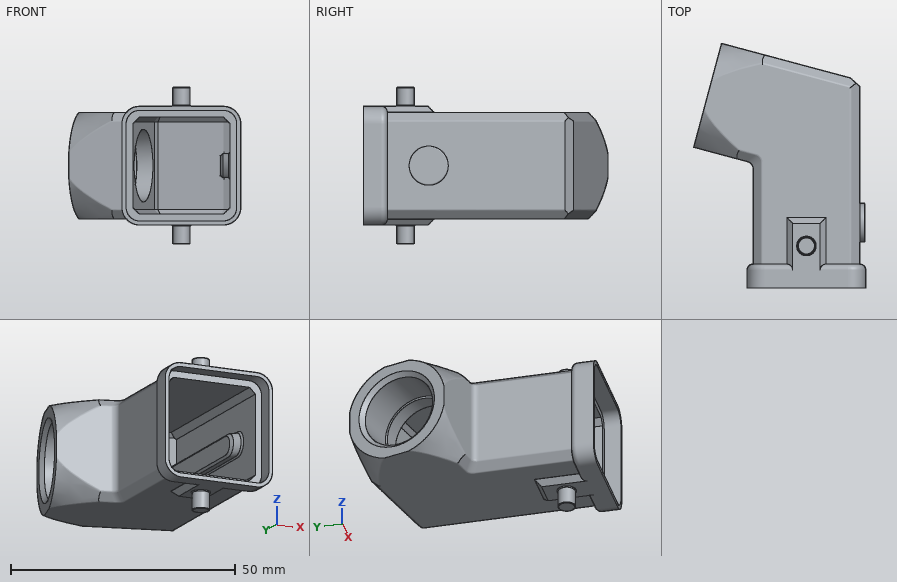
import cadquery as cq
import math


hood_width = 38.45
hood_length = 54.6
pin_span = 35.0

body_half = 11.9
edge_chamfer = 1.95
edge_blend = 0.55
bend_angle = 15.0
entry_half = 12.0
back_corner_x = 9.8
back_corner_y = 45.0
elbow_radius = 1.65

cone_face_radius = 12.3
cone_slope = 0.33
cone_length = 13.1
turning_radius = 24.55

collar_half = 13.25
collar_length = 5.35
collar_corner = 3.95
rim_thickness = 0.95
recess_depth = 3.8

cavity_half = 10.8
cavity_chamfer = 1.4
end_chamfer = 1.05
back_wall = 1.35
inner_corner_x = 9.45
inner_corner_y = 44.7
step_width = 1.35
step_depth = 0.5

bore_depth = 14.1
bore_radius = 8.1
thread_radius = 8.55
thread_depth = 10.3
lead_in = 1.05

pad_half = 4.35
pad_end = 15.7
pad_chamfer = 1.3
pin_y = 9.4
pin_radius = 1.95
pin_foot = 0.2
pin_tip_chamfer = 0.15

boss_y = 14.6
boss_radius = 4.35
boss_face_x = 13.05
boss_round = 0.3
rib_face_x = 8.75
rib_half = 2.7
rib_slant = 45.0
rib_chamfer = 0.5
rib_foot = 0.35
rib_root_blend = 0.4
rib_end_y = 14.95

tolerance = 0.01

slope = math.tan(math.radians(bend_angle))
axis_x = math.cos(math.radians(bend_angle))
axis_y = -math.sin(math.radians(bend_angle))

entry_x = collar_half - hood_width - entry_half * axis_y
entry_y = hood_length - entry_half * axis_x


def entry_point(depth, across):
    """XY point at a depth behind the entry face and a distance across its axis."""
    return (
        entry_x + depth * axis_x - across * axis_y,
        entry_y + depth * axis_y + across * axis_x,
    )


def point_on_slope(start, x):
    """Point at X on the line through start that runs parallel to the entry axis."""
    return (x, start[1] - (x - start[0]) * slope)


def entry_plane():
    """Work plane on the entry face, with its normal pointing into the part."""
    return cq.Workplane(cq.Plane((entry_x, entry_y, 0), xDir=(0, 0, 1), normal=(axis_x, axis_y, 0)))


def mouth_plane():
    """Work plane on the mouth of the leg, with its normal along +Y."""
    return cq.Workplane(cq.Plane((0, 0, 0), xDir=(1, 0, 0), normal=(0, 1, 0)))


def slab(points, half_height):
    """Solid with the given XY outline, reaching half_height above and below Z = 0."""
    return cq.Workplane("XY").polyline(points).close().extrude(half_height, both=True)


def body_outline(height, inset):
    """Outline of the body at a height, its long sides moved inward by inset."""
    side = body_half - inset
    across = entry_half - inset
    entry_top = entry_point(0, across)
    entry_bottom = entry_point(0, -across)
    elbow_x, elbow_y = point_on_slope(entry_bottom, -side)
    tangent = elbow_radius * math.tan(math.radians(90 - bend_angle) / 2)
    return (
        cq.Workplane("XY", origin=(0, 0, height))
        .moveTo(-side, 0)
        .lineTo(side, 0)
        .lineTo(*point_on_slope(entry_top, side))
        .lineTo(*entry_top)
        .lineTo(*entry_bottom)
        .lineTo(elbow_x - tangent * axis_x, elbow_y - tangent * axis_y)
        .tangentArcPoint((elbow_x, elbow_y - tangent), relative=False)
        .close()
    )


def flat_edges(body):
    """Edges round the flats of the body, leaving the two open ends and upright corners sharp."""

    def needs_blend(edge):
        middle = edge.Center()
        depth = (middle.x - entry_x) * axis_x + (middle.y - entry_y) * axis_y
        upright = edge.geomType() == "LINE" and abs(edge.tangentAt(0).z) > 1 - tolerance
        return depth > tolerance and middle.y > tolerance and not upright

    around = body.faces("<Z or >Z").edges().vals() + body.faces("#Z").edges().vals()
    return [edge for edge in around if needs_blend(edge)]


def make_body():
    """Bent body with bevelled long edges, a turned entry and a cut back corner."""
    straight = body_half - edge_chamfer
    body = body_outline(-straight, 0).extrude(2 * straight)
    lower = body_outline(straight, 0).wires().val()
    upper = body_outline(body_half, edge_chamfer).wires().val()
    bevel = cq.Workplane(cq.Solid.makeLoft([lower, upper], True))
    body = body.union(bevel).union(bevel.mirror("XY"))
    body = body.cut(make_entry_turning())
    body = body.newObject(flat_edges(body)).fillet(edge_blend)
    back_cut = slab(
        [
            (body_half, back_corner_y),
            (body_half, hood_length),
            point_on_slope(entry_point(0, entry_half), back_corner_x),
        ],
        body_half,
    )
    return body.cut(back_cut)


def make_entry_turning():
    """Material outside the cone that the entry end is turned to."""
    cone = entry_plane().circle(cone_face_radius).workplane(offset=cone_length)
    cone = cone.circle(cone_face_radius + cone_slope * cone_length).loft()
    return entry_plane().circle(turning_radius).extrude(cone_length).cut(cone)


def make_collar():
    side = 2 * collar_half
    collar = mouth_plane().rect(side, side).extrude(collar_length)
    collar = collar.edges("|Y").fillet(collar_corner)
    return collar.faces(">Y").edges().fillet(collar_half - body_half)


def make_pads():
    pads = cq.Workplane("XY").box(
        2 * pad_half, pad_end, 2 * collar_half, centered=(True, False, True)
    )
    return pads.faces("<Z or >Z").edges("|Y or >Y").chamfer(pad_chamfer)


def make_pins():
    """Two opposite pins, each with a bevelled foot on its pad and a bevelled tip."""
    pin_top = pin_span / 2
    foot_radius = pin_radius + pin_foot
    pin = (
        cq.Workplane("XZ", origin=(0, pin_y, 0))
        .polyline(
            [
                (0, cavity_half),
                (foot_radius, cavity_half),
                (foot_radius, collar_half),
                (pin_radius, collar_half + pin_foot),
                (pin_radius, pin_top - pin_tip_chamfer),
                (pin_radius - pin_tip_chamfer, pin_top),
                (0, pin_top),
            ]
        )
        .close()
        .revolve(360, (0, 0, 0), (0, 1, 0))
    )
    return pin.union(pin.mirror("XY"))


def make_boss():
    boss = cq.Workplane("YZ").center(boss_y, 0).circle(boss_radius).extrude(boss_face_x)
    return boss.faces(">X").edges().fillet(boss_round)


def make_cavity():
    """Bent hollow of the hood, with the rib standing on its +X wall."""
    back_line = entry_point(0, entry_half - back_wall)
    entry_wall = entry_point(bore_depth, 0)
    side_y = entry_wall[1] + (-cavity_half - entry_wall[0]) / slope
    cavity = slab(
        [
            (-cavity_half, 0),
            (cavity_half, 0),
            (cavity_half, inner_corner_y),
            point_on_slope(back_line, inner_corner_x),
            entry_point(bore_depth + step_depth, entry_half - back_wall),
            entry_point(bore_depth, entry_half - back_wall - step_width),
            (-cavity_half, side_y),
        ],
        cavity_half,
    )
    cavity = cavity.faces("<Z or >Z").edges("not <Y").chamfer(end_chamfer)
    side = 2 * cavity_half
    leg = mouth_plane().rect(side, side).extrude(hood_length)
    leg = leg.edges("|Y").chamfer(cavity_chamfer)
    cavity = cavity.intersect(leg).cut(make_rib())
    near_rib_root = cq.selectors.BoxSelector(
        (rib_face_x - rib_foot, inner_corner_y, -rib_half - rib_foot),
        (inner_corner_x + rib_chamfer, back_corner_y + edge_chamfer, rib_half + rib_foot),
    )
    return cavity.edges(near_rib_root).fillet(rib_root_blend)


def rib_outline(x, half_width):
    """Rib outline at X: straight sides and a half-round end that leans toward the mouth."""
    centre_y = rib_end_y - (x - rib_face_x) * math.tan(math.radians(rib_slant))
    outline = (
        cq.Workplane("YZ", origin=(x, 0, 0))
        .moveTo(centre_y, half_width)
        .threePointArc((centre_y - half_width, 0), (centre_y, -half_width))
        .lineTo(hood_length, -half_width)
        .lineTo(hood_length, half_width)
        .close()
    )
    return outline.wires().val()


def make_rib():
    """Rib with a bevelled face and a flared foot on the cavity wall."""
    sections = [
        rib_outline(rib_face_x, rib_half - rib_chamfer),
        rib_outline(rib_face_x + rib_chamfer, rib_half),
        rib_outline(cavity_half - rib_foot, rib_half),
        rib_outline(cavity_half, rib_half + rib_foot),
    ]
    return cq.Workplane(cq.Solid.makeLoft(sections, True))


def make_recess():
    side = 2 * (collar_half - rim_thickness)
    recess = mouth_plane().rect(side, side).extrude(recess_depth)
    return recess.edges("|Y").fillet(collar_corner - rim_thickness)


def make_bore():
    """Stepped bore from the entry face into the cavity."""
    bore = entry_plane().circle(bore_radius).extrude(bore_depth + step_depth)
    thread = entry_plane().circle(thread_radius).extrude(thread_depth)
    mouth = entry_plane().circle(thread_radius + lead_in).workplane(offset=lead_in)
    mouth = mouth.circle(thread_radius).loft()
    return bore.union(thread).union(mouth)


result = make_body()
for addition in (make_collar(), make_pads(), make_pins(), make_boss()):
    result = result.union(addition)
for removal in (make_cavity(), make_recess(), make_bore()):
    result = result.cut(removal)